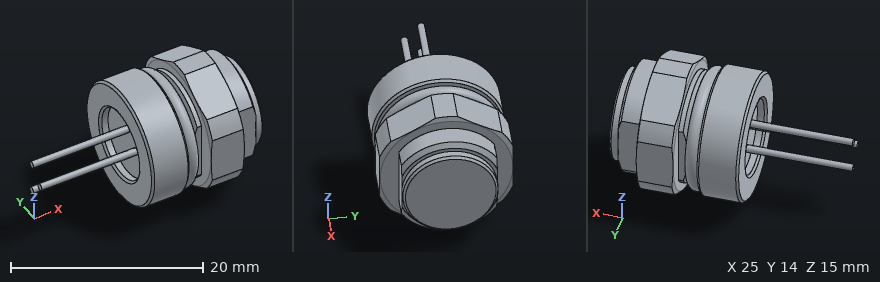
import cadquery as cq
import math


flange_diameter = 14.0
flange_length = 4.5
edge_chamfer = 0.25

seal_section = 1.5
seal_outer_diameter = 13.35
seal_x = flange_length + seal_section / 2
seal_end = flange_length + seal_section
seal_mid_radius = (seal_outer_diameter - seal_section) / 2
neck_radius = seal_mid_radius - seal_section / 2

barrel_radius = 12.0 / 2
barrel_flat_width = 10.0
barrel_end = 13.5
barrel_end_radius = 5.4
chamfer_slope = math.tan(math.radians(30))
tip_radius = 10.0 / 2
tip_end = 14.5
barrel_full_start = seal_end + (barrel_radius - neck_radius) * chamfer_slope
barrel_full_end = barrel_end - (barrel_radius - barrel_end_radius) * chamfer_slope

nut_across_flats = 14.0
nut_corner_radius = 15.0 / 2
nut_face_radius = 6.95
nut_chamfer_length = 0.15
nut_start = 7.0
nut_length = 4.0
nut_end = nut_start + nut_length

recess_diameter = 8.1
recess_depth = 1.0
pin_diameter = 0.8
pin_overhang = 10.5
pin_circle_radius = 1.75
pin_angles = (90, 180, 270)


def make_body():
    """Flange, sealing ring, neck, barrel and tip as one turned profile."""
    flange_radius = flange_diameter / 2
    return (
        cq.Workplane("XY")
        .moveTo(0, 0)
        .lineTo(0, flange_radius - edge_chamfer)
        .lineTo(edge_chamfer, flange_radius)
        .lineTo(flange_length - edge_chamfer, flange_radius)
        .lineTo(flange_length, flange_radius - edge_chamfer)
        .lineTo(flange_length, seal_mid_radius)
        .threePointArc((seal_x, seal_outer_diameter / 2), (seal_end, seal_mid_radius))
        .radiusArc((seal_x, neck_radius), seal_section / 2)
        .lineTo(seal_end, neck_radius)
        .lineTo(barrel_full_start, barrel_radius)
        .lineTo(barrel_full_end, barrel_radius)
        .lineTo(barrel_end, barrel_end_radius)
        .lineTo(barrel_end, tip_radius)
        .lineTo(tip_end - edge_chamfer, tip_radius)
        .lineTo(tip_end, tip_radius - edge_chamfer)
        .lineTo(tip_end, 0)
        .close()
        .revolve(360, (0, 0, 0), (1, 0, 0))
    )


def cut_barrel_flats(body):
    """Cut the barrel to two parallel flats facing -Y and +Y."""
    length = barrel_end - seal_end
    depth = barrel_radius - barrel_flat_width / 2
    offset = (barrel_flat_width + depth) / 2
    for side in (-1, 1):
        cutter = cq.Workplane("XY").box(length, depth, 2 * barrel_radius)
        body = body.cut(cutter.translate((seal_end + length / 2, side * offset, 0)))
    return body


def make_nut():
    """Hexagon with flats facing +/-Y, turned down at its corners."""
    hexagon = (
        cq.Workplane("YZ", origin=(nut_start, 0, 0))
        .polygon(6, nut_across_flats, circumscribed=True)
        .extrude(nut_length)
    )
    turned_blank = (
        cq.Workplane("XY")
        .moveTo(nut_start, 0)
        .lineTo(nut_start, nut_face_radius)
        .lineTo(nut_start + nut_chamfer_length, nut_corner_radius)
        .lineTo(nut_end - nut_chamfer_length, nut_corner_radius)
        .lineTo(nut_end, nut_face_radius)
        .lineTo(nut_end, 0)
        .close()
        .revolve(360, (0, 0, 0), (1, 0, 0))
    )
    return hexagon.intersect(turned_blank)


def cut_recess(body):
    """Blind round recess with a chamfered mouth in the back face."""
    recess_radius = recess_diameter / 2
    recess = (
        cq.Workplane("XY")
        .lineTo(0, recess_radius + edge_chamfer)
        .lineTo(edge_chamfer, recess_radius)
        .lineTo(recess_depth, recess_radius)
        .lineTo(recess_depth, 0)
        .close()
        .revolve(360, (0, 0, 0), (1, 0, 0))
    )
    return body.cut(recess)


def make_pins():
    """Round contact pins from the recess floor out past the back face."""
    places = []
    for angle in pin_angles:
        y = pin_circle_radius * math.cos(math.radians(angle))
        z = pin_circle_radius * math.sin(math.radians(angle))
        places.append((y, z))
    return (
        cq.Workplane("YZ", origin=(-pin_overhang, 0, 0))
        .pushPoints(places)
        .circle(pin_diameter / 2)
        .extrude(pin_overhang + recess_depth)
    )


body = cut_recess(cut_barrel_flats(make_body()))
result = body.union(make_nut()).union(make_pins())